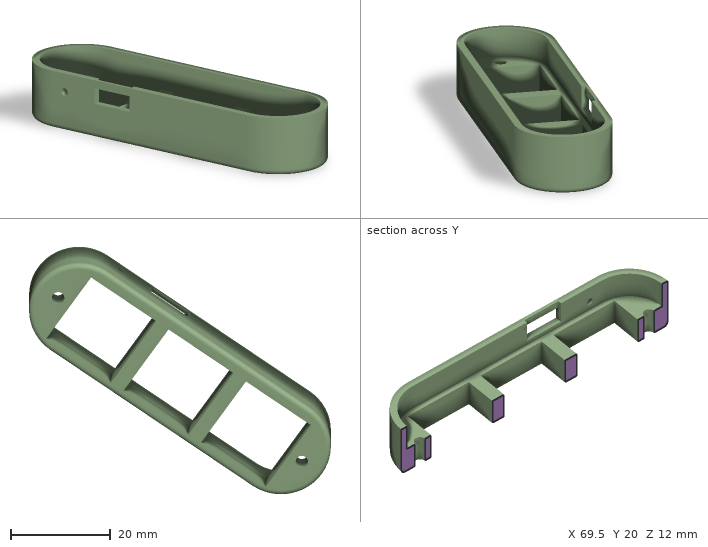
import cadquery as cq

length = 69.55
width = 20.0
height = 12.0
wall = 1.5
bottom_fillet = 1.05
floor_thickness = 6.0

opening_size = 15.9
opening_pitch = 19.0
opening_offset_y = 0.6

screw_hole_diameter = 2.5
screw_hole_spacing = 59.75

window_length = 8.9
window_height = 3.3
window_center_x = -9.5
window_below_rim = 1.7
recess_depth = 0.8

pin_hole_diameter = 1.5
pin_hole_x = -21.5
pin_hole_below_rim = 3.9

cavity_depth = height - floor_thickness
window_bottom = height - window_below_rim - window_height
inner_front_y = wall - width / 2


def make_shell():
    """Rounded-end tray with a filleted bottom edge."""
    body = cq.Workplane("XY").slot2D(length, width).extrude(height)
    body = body.faces("<Z").edges().fillet(bottom_fillet)
    cavity = (
        cq.Workplane("XY", origin=(0, 0, floor_thickness))
        .slot2D(length - 2 * wall, width - 2 * wall)
        .extrude(cavity_depth)
    )
    return body.cut(cavity)


def floor_cutters():
    """Three square openings and a screw hole at each end."""
    openings = (
        cq.Workplane("XY")
        .pushPoints([(i * opening_pitch, opening_offset_y) for i in (-1, 0, 1)])
        .rect(opening_size, opening_size)
        .extrude(floor_thickness)
    )
    screw_holes = (
        cq.Workplane("XY")
        .pushPoints([(side * screw_hole_spacing / 2, 0) for side in (-1, 1)])
        .circle(screw_hole_diameter / 2)
        .extrude(floor_thickness)
    )
    return openings.union(screw_holes)


def front_wall_cutters():
    """Connector window, its inner recess open at the rim, and the pin hole."""
    window = cq.Workplane("XY").box(window_length, wall, window_height, centered=(True, False, False))
    window = window.translate((window_center_x, -width / 2, window_bottom))
    recess = cq.Workplane("XY").box(
        window_length, recess_depth, height - window_bottom, centered=(True, False, False)
    )
    recess = recess.translate((window_center_x, inner_front_y - recess_depth, window_bottom))
    pin_hole = (
        cq.Workplane("XZ", origin=(pin_hole_x, inner_front_y, height - pin_hole_below_rim))
        .circle(pin_hole_diameter / 2)
        .extrude(wall)
    )
    return window.union(recess).union(pin_hole)


result = make_shell().cut(floor_cutters()).cut(front_wall_cutters())